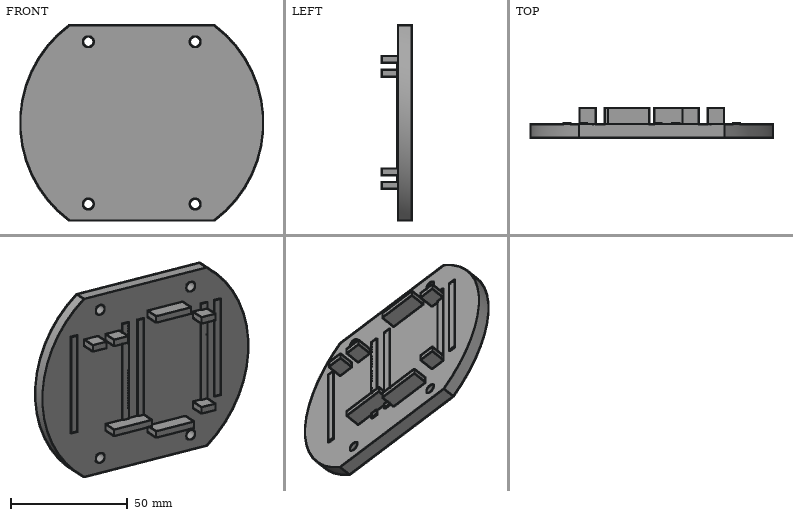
import cadquery as cq

plate_diameter = 104.6
plate_height = 84.0
plate_thickness = 6.0
overall_depth = 13.0

hole_diameter = 4.5
hole_spacing_x = 45.9
hole_spacing_z = 69.8

block_length = overall_depth - plate_thickness
strip_length = 0.5
row_thickness = 3.0
upper_outer_row = 27.3
upper_inner_row = 21.3
lower_inner_row = -21.0
lower_outer_row = -26.9

outer_block_far = 31.1
outer_block_near = 24.1
inner_block_far = 20.3
inner_block_near = 1
top_block_far = 18.8
small_block_near = 13.2

blocks = [
    (-top_block_far, -inner_block_near, upper_outer_row),
    (-outer_block_far, -outer_block_near, upper_inner_row),
    (small_block_near, inner_block_far, upper_inner_row),
    (outer_block_near, outer_block_far, upper_inner_row),
    (-outer_block_far, -outer_block_near, lower_inner_row),
    (inner_block_near, inner_block_far, lower_inner_row),
    (-inner_block_far, -inner_block_near, lower_outer_row),
]

strip_width = 3.1
strip_top = upper_outer_row - row_thickness / 2
side_strip_bottom = lower_inner_row + row_thickness / 2
middle_strip_bottom = lower_outer_row + row_thickness / 2
side_strip_center = 36.4
middle_strip_center = 10.4

strips = [
    (-side_strip_center, side_strip_bottom),
    (-outer_block_far + strip_width / 2, side_strip_bottom),
    (inner_block_near + strip_width / 2, middle_strip_bottom),
    (middle_strip_center, middle_strip_bottom),
    (side_strip_center, side_strip_bottom),
]


def make_plate():
    disc = cq.Workplane("XZ").circle(plate_diameter / 2).extrude(-plate_thickness)
    flats = cq.Workplane("XZ").rect(plate_diameter, plate_height).extrude(-plate_thickness)
    holes = (
        cq.Workplane("XZ")
        .rect(hole_spacing_x, hole_spacing_z, forConstruction=True)
        .vertices()
        .circle(hole_diameter / 2)
        .extrude(-plate_thickness)
    )
    return disc.intersect(flats).cut(holes)


def back_box(left, right, bottom, top, length):
    """Box standing on the back face of the plate."""
    corner = (left, plate_thickness, bottom)
    return cq.Workplane("XY").box(right - left, length, top - bottom, centered=False).translate(corner)


result = make_plate()
for left, right, row in blocks:
    result = result.union(
        back_box(left, right, row - row_thickness / 2, row + row_thickness / 2, block_length)
    )
for center, bottom in strips:
    result = result.union(
        back_box(center - strip_width / 2, center + strip_width / 2, bottom, strip_top, strip_length)
    )